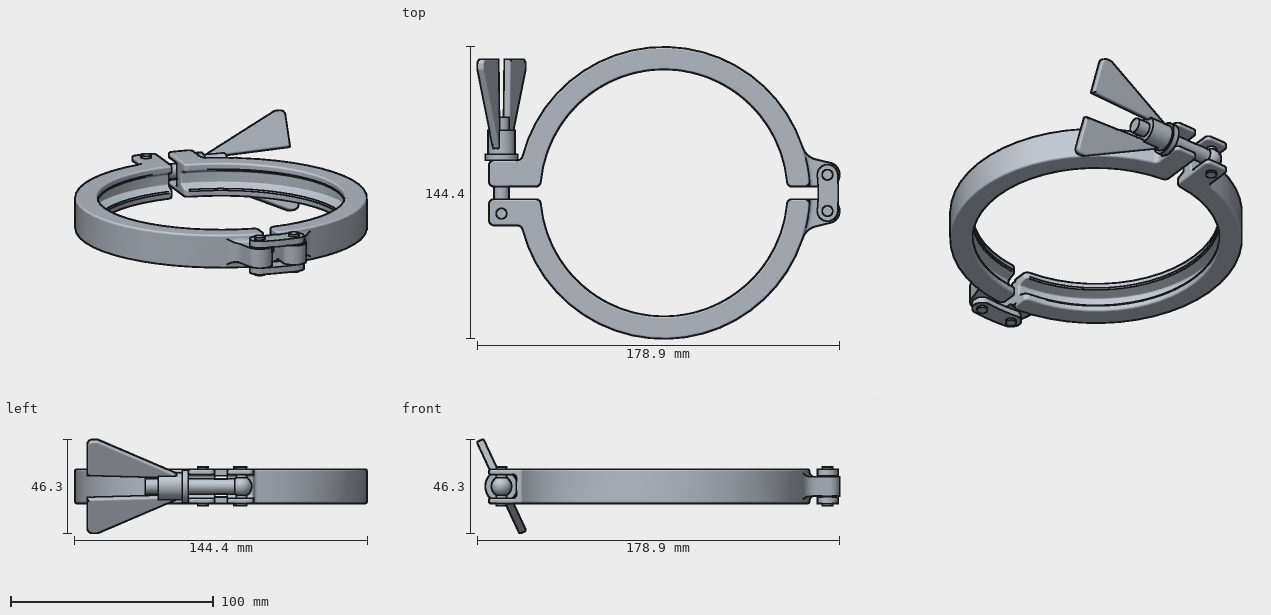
import cadquery as cq
import math


ring_radius = 72.2
bore_radius = 60.96
half_height = 8.5
half_gap = 3.0
corner_radius = 2.7
edge_radius = 1.0

groove_radius = 66.6
groove_mouth = 4.8
groove_slope = 20
groove_edge_radius = 0.9

tab_end_x = -86.5
tab_side_y = 16.1
fork_half_height = 5.82
fork_end_x = -72.9
fork_corner_radius = 1.8
fork_edge_radius = 0.9

pin_radius = 2.6
pin_half_length = 9.7
hinge_x = 80.7
hinge_y = 9.0
lug_radius = 6.0
lug_half_height = 4.8
lug_side_angle = 13.5
lug_blend_radius = 9.0
lug_flare = 2.0
link_radius = 5.0
link_bottom = 5.2

bolt_x = -80.2
bolt_pin_y = -10.2
bolt_radius = 3.8
bolt_end_y = 37.5
eye_radius = 5.0
washer_radius = 8.0
washer_thickness = 3.0
nut_radius = 6.71
nut_length = 11.8
wing_tilt = 65
wing_thickness = 3.8
wing_span = 25.0
wing_tip_y = 66.0
wing_tip_width = 18.6
wing_shoulder = 5.2
wing_root = 5.4
wing_tip_radius = 2.7
wing_edge_radius = 0.9


def cylinder_y(radius, start_y, end_y):
    """Cylinder along the bolt axis."""
    plane = cq.Workplane("XZ", origin=(bolt_x, end_y, 0))
    return plane.circle(radius).extrude(end_y - start_y)


def make_groove():
    """Solid of revolution that fills the groove."""
    rise = (groove_radius - bore_radius) * math.tan(math.radians(groove_slope))
    floor = groove_mouth - rise
    return (
        cq.Workplane("XZ")
        .moveTo(bore_radius - 1.8, -groove_mouth)
        .lineTo(bore_radius, -groove_mouth)
        .lineTo(groove_radius, -floor)
        .lineTo(groove_radius, floor)
        .lineTo(bore_radius, groove_mouth)
        .lineTo(bore_radius - 1.8, groove_mouth)
        .close()
        .revolve(360, (0, 0, 0), (0, 1, 0))
    )


def make_lug():
    """Hinge lug on the +Y half, as thick as its flared root all over."""
    slope = math.radians(lug_side_angle)
    tangent_x = hinge_x + lug_radius * math.sin(slope)
    tangent_y = hinge_y + lug_radius * math.cos(slope)
    root_x = groove_radius + 1.8
    root_y = tangent_y + (tangent_x - root_x) * math.tan(slope)
    end_x = hinge_x + math.sqrt(lug_radius**2 - (hinge_y - half_gap) ** 2)
    return (
        cq.Workplane("XY", origin=(0, 0, -lug_half_height - lug_flare))
        .moveTo(root_x, half_gap)
        .lineTo(end_x, half_gap)
        .threePointArc((hinge_x + lug_radius, hinge_y), (tangent_x, tangent_y))
        .lineTo(root_x, root_y)
        .close()
        .extrude(2 * (lug_half_height + lug_flare))
    )


def make_lug_trim():
    """Quarter ring over the lug that thins it and leaves a concave flare at its root."""
    top = lug_half_height + lug_flare
    arc_radius = ring_radius + lug_flare
    reach = hinge_x + 2 * lug_radius
    arc_sag = lug_flare * (1 - math.sqrt(0.5))
    return (
        cq.Workplane("XZ")
        .moveTo(ring_radius, top)
        .threePointArc((ring_radius + arc_sag, lug_half_height + arc_sag), (arc_radius, lug_half_height))
        .lineTo(reach, lug_half_height)
        .lineTo(reach, top)
        .close()
        .revolve(90, (0, 0, 0), (0, 1, 0))
    )


def edges_inside(corner, opposite_corner):
    """Selector for the edges whose centres lie in the box between two corners."""
    return cq.selectors.BoxSelector(corner, opposite_corner)


def make_half():
    """The +Y half of the clamp: ring, forked tab and hinge lug."""
    height = 2 * half_height
    ring = cq.Workplane("XY").circle(ring_radius).circle(bore_radius).extrude(height)
    tab_length = -tab_end_x - bore_radius - 5.4
    tab = cq.Workplane("XY").box(tab_length, tab_side_y, height, centered=False)
    tab = tab.translate((tab_end_x, 0, 0))
    keep = cq.Workplane("XY").box(358, 179, height, centered=(True, False, False))
    half = ring.union(tab).intersect(keep.translate((0, half_gap, 0)))
    half = half.translate((0, 0, -half_height))
    half = half.edges("|Z").fillet(corner_radius)
    half = half.faces("|Z").edges().fillet(edge_radius)

    half = half.cut(make_groove())
    low_corner = (-groove_radius - 0.9, 0, -groove_mouth - 0.2)
    high_corner = (groove_radius + 0.9, groove_radius, groove_mouth + 0.2)
    half = half.edges(edges_inside(low_corner, high_corner)).fillet(groove_edge_radius)

    fork = cq.Workplane("XY").box(35.8, 71.6, 2 * fork_half_height)
    fork = fork.edges("|Y and >X").fillet(fork_corner_radius)
    half = half.cut(fork.translate((fork_end_x - 17.9, 0, 0)))
    low_corner = (tab_end_x - 0.2, 0, -fork_half_height - 0.2)
    high_corner = (fork_end_x - 2 * fork_corner_radius, tab_side_y + 0.2, fork_half_height + 0.2)
    half = half.edges(edges_inside(low_corner, high_corner)).fillet(fork_edge_radius)

    half = half.union(make_lug())
    low_corner = (ring_radius - 3.5, tab_side_y, -1.8)
    high_corner = (ring_radius, tab_side_y + 3.5, 1.8)
    half = half.edges(edges_inside(low_corner, high_corner)).fillet(lug_blend_radius)
    trim = make_lug_trim()
    return half.cut(trim).cut(trim.mirror("XY"))


def make_pin(x, y):
    """Rivet pin along Z."""
    pin = cq.Workplane("XY").circle(pin_radius).extrude(2 * pin_half_length)
    return pin.translate((x, y, -pin_half_length))


def make_link():
    """Upper link plate joining the two hinge pins, curved along with the ring."""
    arc_radius = math.hypot(hinge_x, hinge_y)
    inner = (arc_radius - link_radius) / arc_radius
    outer = (arc_radius + link_radius) / arc_radius
    end_y = hinge_y + link_radius * hinge_x / arc_radius
    end_x = hinge_x - link_radius * hinge_y / arc_radius
    return (
        cq.Workplane("XY", origin=(0, 0, link_bottom))
        .moveTo(inner * hinge_x, inner * -hinge_y)
        .threePointArc((inner * arc_radius, 0), (inner * hinge_x, inner * hinge_y))
        .threePointArc((end_x, end_y), (outer * hinge_x, outer * hinge_y))
        .threePointArc((outer * arc_radius, 0), (outer * hinge_x, outer * -hinge_y))
        .threePointArc((end_x, -end_y), (inner * hinge_x, inner * -hinge_y))
        .close()
        .extrude(half_height - link_bottom)
    )


def make_bolt():
    """Eye bolt with its washer and the barrel of the nut."""
    eye = cq.Workplane("XY").sphere(eye_radius).translate((bolt_x, bolt_pin_y, 0))
    washer_end = tab_side_y + washer_thickness
    bolt = eye.union(cylinder_y(bolt_radius, bolt_pin_y, bolt_end_y))
    bolt = bolt.union(cylinder_y(washer_radius, tab_side_y, washer_end))
    return bolt.union(cylinder_y(nut_radius, washer_end, washer_end + nut_length))


def make_wing():
    """Upper wing: a tapered plate leaning out from the nut towards -X and +Z."""
    nut_start = tab_side_y + washer_thickness
    inner_corner = wing_span - wing_tip_width
    plate = (
        cq.Workplane("XY", origin=(0, 0, -wing_thickness / 2))
        .moveTo(wing_root, nut_start)
        .lineTo(wing_span, wing_tip_y - wing_shoulder)
        .lineTo(wing_span, wing_tip_y)
        .lineTo(inner_corner, wing_tip_y)
        .lineTo(wing_root, nut_start + nut_length)
        .close()
        .extrude(wing_thickness)
    )
    plate = plate.edges("|Z and >X").fillet(wing_tip_radius)
    plate = plate.faces("|Z").edges().fillet(wing_edge_radius)
    plate = plate.rotate((0, 0, 0), (0, 1, 0), wing_tilt - 180)
    return plate.translate((bolt_x, 0, 0))


upper_half = make_half()
link = make_link()
wing = make_wing()

result = upper_half.union(upper_half.mirror("XZ"))
result = result.union(link).union(link.mirror("XY"))
result = result.union(make_pin(hinge_x, hinge_y)).union(make_pin(hinge_x, -hinge_y))
result = result.union(make_bolt()).union(make_pin(bolt_x, bolt_pin_y))
result = result.union(wing).union(wing.rotate((bolt_x, 0, 0), (bolt_x, 1, 0), 180))